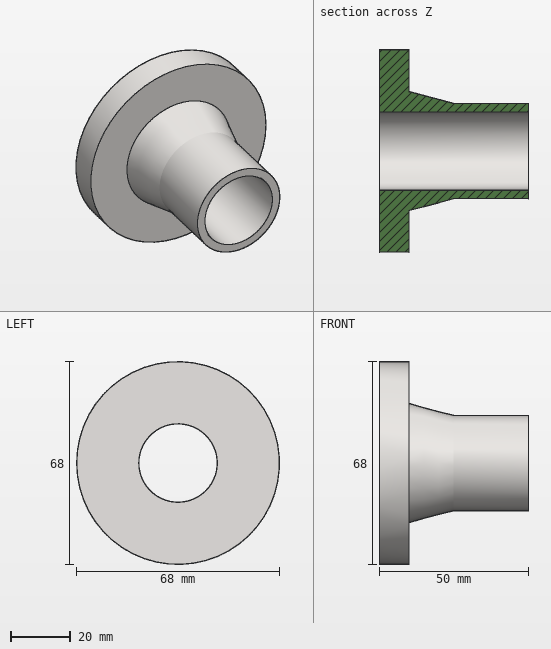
import cadquery as cq

flange_diameter = 68.0
flange_thickness = 10.0
neck_base_diameter = 40.0
neck_length = 15.0
pipe_diameter = 32.0
pipe_wall = 2.9
total_length = 50.0

flange_radius = flange_diameter / 2
neck_base_radius = neck_base_diameter / 2
pipe_radius = pipe_diameter / 2
bore_radius = pipe_radius - pipe_wall
neck_end = flange_thickness + neck_length


def turned_body():
    """Flange, tapered neck, pipe and through bore as one revolved section."""
    half_section = (
        cq.Workplane("XY")
        .moveTo(0, bore_radius)
        .lineTo(0, flange_radius)
        .lineTo(flange_thickness, flange_radius)
        .lineTo(flange_thickness, neck_base_radius)
        .lineTo(neck_end, pipe_radius)
        .lineTo(total_length, pipe_radius)
        .lineTo(total_length, bore_radius)
        .close()
    )
    return half_section.revolve(360, (0, 0, 0), (1, 0, 0))


result = turned_body()